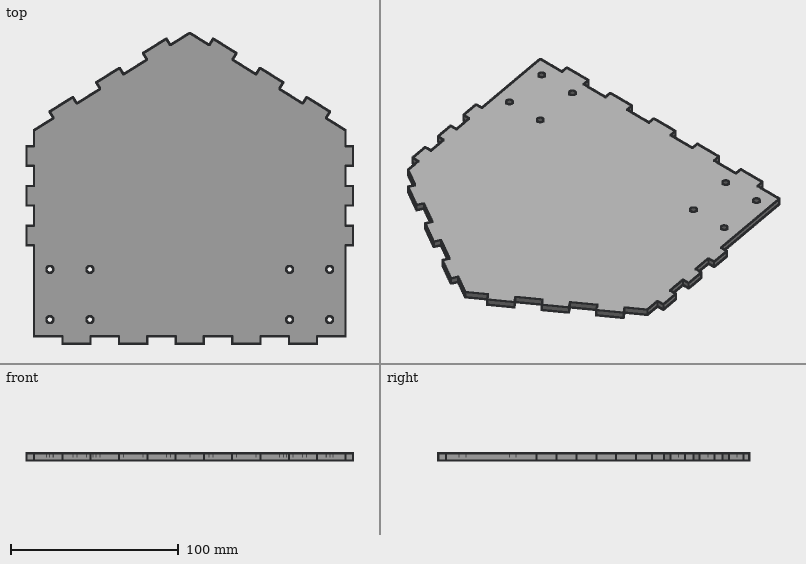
import cadquery as cq
import math

thickness = 4.5
body_width = 186.0
body_height = 181.17
roof_angle = 32.0

half_width = body_width / 2
eave_height = body_height - half_width * math.tan(math.radians(roof_angle))
roof_length = half_width / math.cos(math.radians(roof_angle))

tab_depth = thickness
bottom_tab_count = 5
bottom_tab_width = body_width / (2 * bottom_tab_count + 1)
side_tab_count = 3
side_tab_width = 11.85
side_tab_offset = 9.5
roof_tab_count = 3
roof_tab_width = 16.45
roof_tab_offset = (roof_length - (2 * roof_tab_count - 1) * roof_tab_width) / 2

hole_diameter = 4.0
hole_columns = (59.6, 83.5)
hole_rows = (10.0, 40.0)


def make_body():
    """Pentagonal panel with its bottom edge on the X axis and the ridge at X = 0."""
    outline = [
        (-half_width, 0),
        (half_width, 0),
        (half_width, eave_height),
        (0, body_height),
        (-half_width, eave_height),
    ]
    return cq.Workplane("XY").polyline(outline).close().extrude(thickness)


def make_tab_row(start, direction, first_offset, tab_width, count):
    """Row of tabs centred on an edge that leaves `start` at `direction` degrees."""
    row = cq.Workplane("XY")
    for index in range(count):
        along_edge = first_offset + 2 * index * tab_width
        tab = cq.Workplane("XY").box(tab_width, 2 * tab_depth, thickness, centered=(False, True, False))
        row = row.add(tab.translate((along_edge, 0, 0)))
    row = row.combine()
    return row.rotate((0, 0, 0), (0, 0, 1), direction).translate((start[0], start[1], 0))


def make_right_edge_tabs():
    """Tabs of the right wall and the right roof slope."""
    eave = (half_width, eave_height)
    wall_tabs = make_tab_row(eave, -90, side_tab_offset, side_tab_width, side_tab_count)
    roof_tabs = make_tab_row(eave, 180 - roof_angle, roof_tab_offset, roof_tab_width, roof_tab_count)
    return wall_tabs.union(roof_tabs)


def make_bottom_tabs():
    """Evenly spaced tabs, with a gap at each end of the bottom edge."""
    return make_tab_row((-half_width, 0), 0, bottom_tab_width, bottom_tab_width, bottom_tab_count)


def drill_holes(panel):
    """Through holes in a pattern that is symmetric about the centre line."""
    centres = [(side * x, y) for side in (-1, 1) for x in hole_columns for y in hole_rows]
    drills = cq.Workplane("XY").pushPoints(centres).circle(hole_diameter / 2).extrude(thickness)
    return panel.cut(drills)


right_tabs = make_right_edge_tabs()
panel = make_body().union(make_bottom_tabs()).union(right_tabs).union(right_tabs.mirror("YZ"))
result = drill_holes(panel)